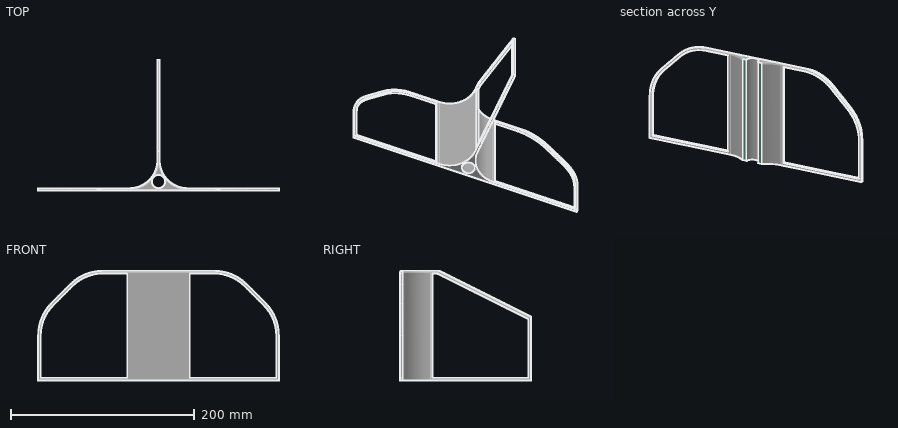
import cadquery as cq
import math

length = 263.0
depth = 143.0
height = 120.0

thickness = 3.0
rim = 3.2
sloped_rim = 4.0
half_wall = thickness / 2

corner_cut = 50.0
corner_radius = 50.0

fin_tip_height = 70.0
fin_flat_end = 43.1

flare_radius = 30.0
bore_diameter = 14.2
bore_y = thickness + bore_diameter / 2
flare_half_width = half_wall + flare_radius
flare_end = thickness + flare_radius
web_margin = 3.0

top_round = 1.42


def front_panel():
    """Upright plate with two rounded, cut-off top corners and two windows.

    The top edge is rounded along X only, so the rounding fades out on the corners.
    """
    half = length / 2
    shoulder = height - corner_cut
    outline = [
        (-half, 0), (half, 0), (half, shoulder), (half - corner_cut, height),
        (corner_cut - half, height), (-half, shoulder),
    ]
    plate = cq.Workplane("XZ").polyline(outline).close().extrude(-thickness)
    top_corners = cq.selectors.BoxSelector(
        (-length, -thickness, shoulder / 2), (length, 2 * thickness, 2 * height)
    )
    plate = plate.edges("|Y").edges(top_corners).fillet(corner_radius)
    opening = plate.faces("<Y").wires().toPending().offset2D(-rim).extrude(-thickness, combine=False)
    web_half = flare_half_width + web_margin
    web = cq.Workplane("XY").box(2 * web_half, depth, height, centered=(True, True, False))
    rounded_slab = (
        cq.Workplane("XY")
        .box(length, thickness, height, centered=(True, False, False))
        .edges("|X and >Z")
        .fillet(top_round)
    )
    return plate.cut(opening.cut(web)).intersect(rounded_slab)


def rear_fin():
    """Upright central plate with a sloping top and one window."""
    outline = [
        (half_wall, 0), (depth, 0), (depth, fin_tip_height), (fin_flat_end, height), (half_wall, height),
    ]
    fin = cq.Workplane("YZ").polyline(outline).close().extrude(half_wall, both=True)
    top_zone = cq.selectors.BoxSelector(
        (-length, half_wall, fin_tip_height / 2 + rim), (length, depth - rim, 2 * height)
    )
    fin = fin.faces("<X or >X").edges(top_zone).fillet(top_round)

    slope = (height - fin_tip_height) / (depth - fin_flat_end)
    slope_drop = sloped_rim * math.hypot(1, slope)
    window_back = depth - rim
    window_front = flare_end + web_margin
    window_top = height - rim
    window_bend = fin_flat_end + (rim - slope_drop) / slope
    window = [
        (window_front, rim),
        (window_back, rim),
        (window_back, fin_tip_height + rim * slope - slope_drop),
        (window_bend, window_top),
        (window_front, window_top),
    ]
    opening = cq.Workplane("YZ").polyline(window).close().extrude(half_wall, both=True)
    return fin.cut(opening)


def column():
    """Flared column with concave quarter-round sides."""
    bend = flare_radius * (1 - math.cos(math.pi / 4))
    solid = (
        cq.Workplane("XY")
        .moveTo(-flare_half_width, 0)
        .lineTo(flare_half_width, 0)
        .lineTo(flare_half_width, thickness)
        .threePointArc((half_wall + bend, thickness + bend), (half_wall, flare_end))
        .lineTo(-half_wall, flare_end)
        .threePointArc((-half_wall - bend, thickness + bend), (-flare_half_width, thickness))
        .close()
        .extrude(height)
    )
    return solid.faces(">Z").edges("%CIRCLE or <Y").fillet(top_round)


result = front_panel().union(rear_fin()).union(column())
bore = cq.Workplane("XY").center(0, bore_y).circle(bore_diameter / 2).extrude(height)
result = result.cut(bore)